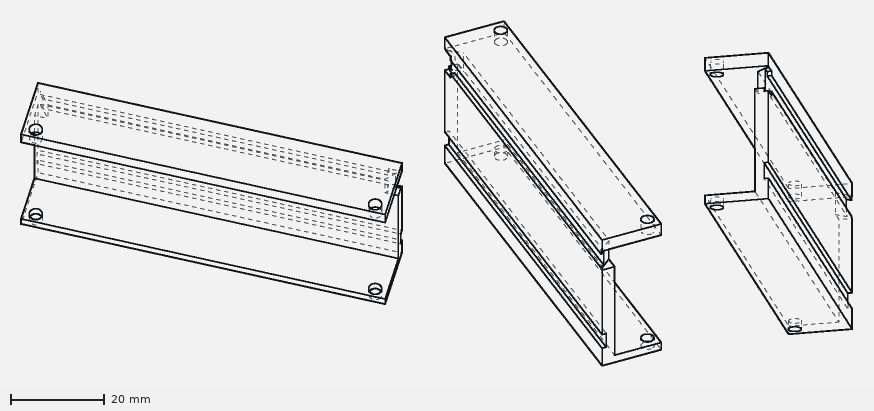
import cadquery as cq

length = 81.0
depth = 14.0
height = 33.5
web_thickness = 3.0
top_flange_thickness = 3.0
bottom_flange_thickness = 1.95

groove_height = 3.65
groove_depth = 1.0
upper_groove_top = height - 4.1
lower_groove_top = height - 25.2

recess_margin = 1.0
recess_length = 3.0

notch_bottom = height - 8.0
notch_front_reach = 3.0
notch_back_reach = 0.5

hole_diameter = 2.8
hole_end_offset = 2.75
hole_front_offset = 2.0

half_length = length / 2
web_front = depth - web_thickness
notch_top = height - top_flange_thickness


def box(x_start, x_end, y_start, y_end, z_start, z_end):
    """Box between the given limits on each axis."""
    size = (x_end - x_start, y_end - y_start, z_end - z_start)
    return cq.Workplane("XY").box(*size, centered=False).translate((x_start, y_start, z_start))


def channel():
    """Plain C-shaped channel."""
    body = box(-half_length, half_length, 0, depth, 0, height)
    opening = box(-half_length, half_length, 0, web_front, bottom_flange_thickness, notch_top)
    return body.cut(opening)


def back_groove(top, margin=0.0, x_start=-half_length):
    """Groove in the back face running to the +X end, widened by margin above and below."""
    bottom = top - groove_height
    return box(x_start, half_length, depth - groove_depth, depth, bottom - margin, top + margin)


def end_notch(side):
    """Notch with a slanted inner face at one web end (side is -1 or +1)."""
    end = side * half_length
    outline = [
        (end, web_front),
        (end - side * notch_front_reach, web_front),
        (end - side * notch_back_reach, depth),
        (end, depth),
    ]
    return (
        cq.Workplane("XY")
        .workplane(offset=notch_bottom)
        .polyline(outline)
        .close()
        .extrude(notch_top - notch_bottom)
    )


def mounting_holes():
    """Vertical holes through both flanges near each end."""
    hole_x = half_length - hole_end_offset
    centers = [(-hole_x, hole_front_offset), (hole_x, hole_front_offset)]
    return cq.Workplane("XY").pushPoints(centers).circle(hole_diameter / 2).extrude(height)


result = channel().cut(mounting_holes())
for groove_top in (upper_groove_top, lower_groove_top):
    result = result.cut(back_groove(groove_top))
result = result.cut(back_groove(upper_groove_top, recess_margin, half_length - recess_length))
for side in (-1, 1):
    result = result.cut(end_notch(side))